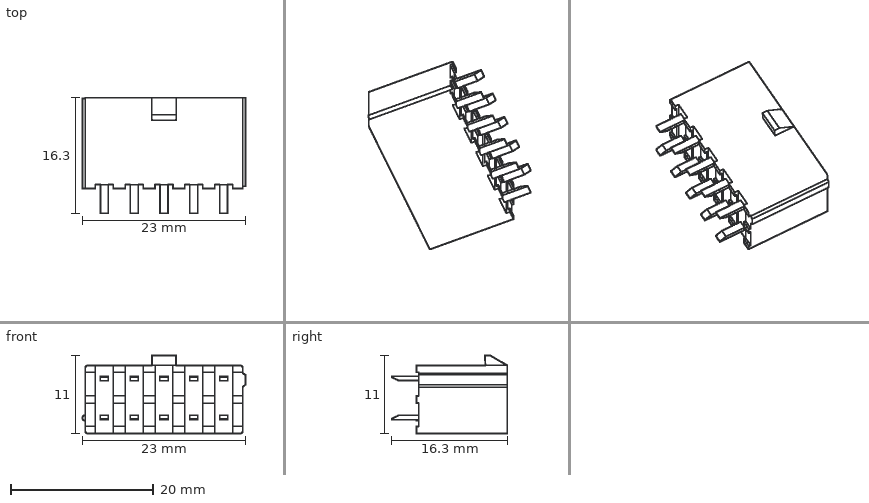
import cadquery as cq

body_width = 22.2
body_depth = 12.8
body_height = 9.6
edge_radius = 0.35

column_count = 5
row_count = 2
column_pitch = 4.2
row_pitch = 5.5
lower_pin_z = 2.26

channel_width = 2.5
channel_depth = 0.55
recess_depth = 0.3
pad_height = 1.0

pin_width = 1.15
pin_thickness = 0.64
pin_projection = 3.5
pin_taper_length = 1.0
pin_tip_thickness = 0.15

latch_width = 3.4
latch_height = 1.4
latch_ramp_length = 2.4
latch_tip_length = 3.2
latch_foot_length = 3.1

rib_radius = 0.4
rib_z = 2.2
rib_rear_gap = 0.1

key_projection = 0.4
key_base_bottom = 6.55
key_base_top = 8.5
key_face_bottom = 6.9
key_face_top = 8.25
key_front_gap = 0.3

overlap = 0.2

half_width = body_width / 2
column_xs = [(i - (column_count - 1) / 2) * column_pitch for i in range(column_count)]


def box(width, depth, height, x_center, y_front, z_bottom):
    """Box centred on x_center that runs back from y_front and up from z_bottom."""
    block = cq.Workplane("XY").box(width, depth, height, centered=(True, False, False))
    return block.translate((x_center, y_front, z_bottom))


def make_body():
    """Housing block with its four long edges rounded."""
    body = box(body_width, body_depth, body_height, 0, 0, 0)
    return body.edges("|Y").fillet(edge_radius)


def cut_pin_side(body):
    """Recess the front between three rows of pads, then cut one channel per column."""
    recess_height = (body_height - (row_count + 1) * pad_height) / row_count
    for row in range(row_count):
        recess_z = pad_height + row * (recess_height + pad_height)
        body = body.cut(box(body_width, recess_depth, recess_height, 0, 0, recess_z))
    for x in column_xs:
        body = body.cut(box(channel_width, channel_depth, body_height, x, 0, 0))
    return body


def make_pin(x, z, taper_side):
    """Flat pin tapered on its upper (taper_side = 1) or lower (taper_side = -1) face."""
    straight_z = z - taper_side * pin_thickness / 2
    tapered_z = z + taper_side * pin_thickness / 2
    tip_z = straight_z + taper_side * pin_tip_thickness
    root_y = channel_depth + overlap
    profile = [
        (root_y, straight_z),
        (-pin_projection, straight_z),
        (-pin_projection, tip_z),
        (-pin_projection + pin_taper_length, tapered_z),
        (root_y, tapered_z),
    ]
    pin = cq.Workplane("YZ").polyline(profile).close().extrude(pin_width / 2, both=True)
    return pin.translate((x, 0, 0))


def make_latch():
    """Ramp rising from the rear edge to a flat crest with a slightly undercut front."""
    top = body_height + latch_height
    profile = [
        (body_depth, body_height - overlap),
        (body_depth, body_height),
        (body_depth - latch_ramp_length, top),
        (body_depth - latch_tip_length, top),
        (body_depth - latch_foot_length, body_height),
        (body_depth - latch_foot_length, body_height - overlap),
    ]
    return cq.Workplane("YZ").polyline(profile).close().extrude(latch_width / 2, both=True)


def make_rib():
    """Half-round rib on the -X side; it keeps its full length past the front recess."""
    crest = (-half_width - rib_radius, rib_z)
    outline = (
        cq.Workplane("XZ")
        .moveTo(-half_width, rib_z - rib_radius)
        .threePointArc(crest, (-half_width, rib_z + rib_radius))
        .close()
    )
    return outline.extrude(rib_rear_gap - body_depth)


def make_key():
    """Trapezoidal key on the +X side, stopping short of the front."""
    profile = [
        (half_width - overlap, key_base_bottom),
        (half_width, key_base_bottom),
        (half_width + key_projection, key_face_bottom),
        (half_width + key_projection, key_face_top),
        (half_width, key_base_top),
        (half_width - overlap, key_base_top),
    ]
    key = cq.Workplane("XZ").polyline(profile).close().extrude(key_front_gap - body_depth)
    return key.translate((0, key_front_gap, 0))


result = cut_pin_side(make_body())
for x in column_xs:
    result = result.union(make_pin(x, lower_pin_z, 1))
    result = result.union(make_pin(x, lower_pin_z + row_pitch, -1))
result = result.union(make_latch()).union(make_rib()).union(make_key())